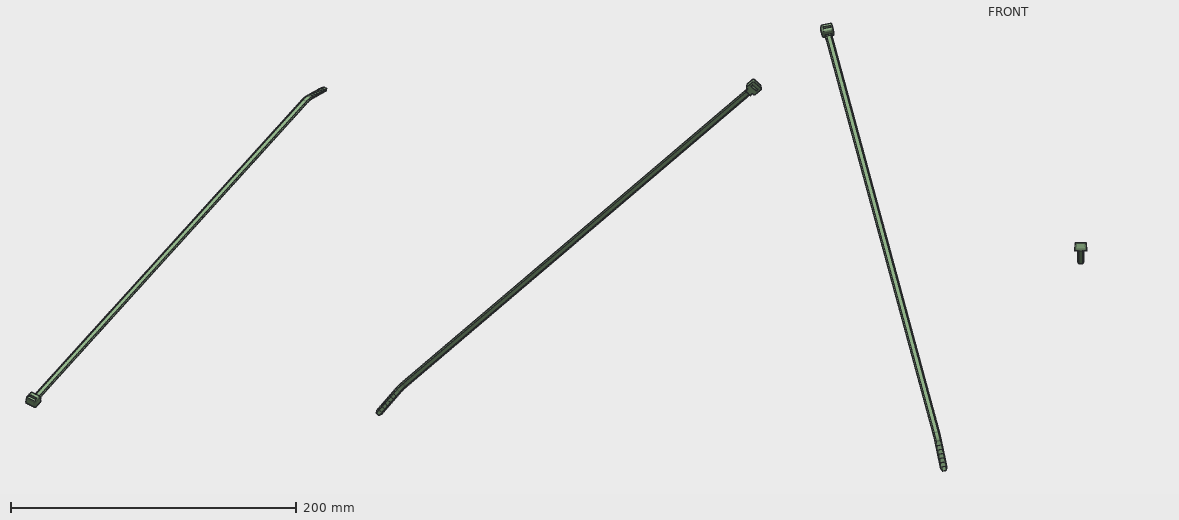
import cadquery as cq
import math

overall_length = 371.27
overall_height = 14.93

strap_width = 4.8
strap_thickness = 1.25
strap_flat_width = 2.8
strap_bevel_angle = 30

tail_angle = 24.3
bend_radius = 13.5
tip_corner_width = 1.2
tip_corner_length = 2.0

tooth_count = 6
tooth_pitch = 3.07
tooth_height = 0.43
last_tooth_to_tip = 3.0

head_width = 8.64
head_length = 7.6
head_top = 4.7
head_draft = 5
head_base_depth = 1.1
head_corner_radius = 1.0
head_edge_radius = 0.9
head_back_slope = 4
slot_width = 5.2
slot_length = 1.6
slot_start = 2.5

neck_length = 2.0
ramp_length = 0.8
ramp_height = 0.5

bevel_drop = (strap_width - strap_flat_width) / 2 * math.tan(math.radians(strap_bevel_angle))
bend_sine = math.sin(math.radians(tail_angle))
bend_cosine = math.cos(math.radians(tail_angle))
tail_drop = overall_height - head_top
bend_drop = bend_radius * (1 - bend_cosine)
tail_length = (tail_drop - bend_drop) / bend_sine
tail_run = (bend_radius + strap_thickness) * bend_sine + tail_length * bend_cosine
bend_start = overall_length - tail_run
slot_end = slot_start + slot_length


def make_strap():
    """Straight strap, bend and tail swept as one bevelled section."""
    half_angle = math.radians(tail_angle / 2)
    bend_middle = (
        bend_start + bend_radius * math.sin(half_angle),
        -bend_radius * (1 - math.cos(half_angle)),
    )
    bend_end = (bend_start + bend_radius * bend_sine, -bend_drop)
    tip = (bend_end[0] + tail_length * bend_cosine, -tail_drop)
    path = (
        cq.Workplane("YZ")
        .moveTo(slot_end, 0)
        .lineTo(bend_start, 0)
        .threePointArc(bend_middle, bend_end)
        .lineTo(*tip)
    )
    half_width = strap_width / 2
    half_flat = strap_flat_width / 2
    bevel_z = strap_thickness - bevel_drop
    start_plane = cq.Plane(origin=(0, slot_end, 0), xDir=(1, 0, 0), normal=(0, -1, 0))
    section = cq.Workplane(start_plane).polyline(
        [
            (-half_flat, 0),
            (half_flat, 0),
            (half_width, bevel_drop),
            (half_width, bevel_z),
            (half_flat, strap_thickness),
            (-half_flat, strap_thickness),
            (-half_width, bevel_z),
            (-half_width, bevel_drop),
        ]
    ).close()
    return section.sweep(path)


def tail_plane():
    """YZ plane turned along the tail: local x runs to the tip, local y is normal to the tail."""
    tip = (0, overall_length - strap_thickness * bend_sine, -tail_drop)
    return cq.Plane(origin=tip, xDir=(0, bend_cosine, -bend_sine), normal=(1, 0, 0))


def make_tooth_gaps():
    """Wedges cut into the top of the tail, leaving teeth with their steep side toward the head."""
    gaps = cq.Workplane(tail_plane())
    for index in range(tooth_count):
        deep_end = -last_tooth_to_tip - index * tooth_pitch
        crest = deep_end - tooth_pitch
        gaps = gaps.polyline(
            [
                (crest, strap_thickness),
                (deep_end, strap_thickness),
                (deep_end, strap_thickness - tooth_height),
            ]
        ).close()
    return gaps.extrude(strap_width / 2, both=True)


def make_tip_corners():
    """Prisms that cut the two corners off the tip of the tail."""
    plane = tail_plane()
    top = cq.Plane(origin=plane.origin, xDir=(1, 0, 0), normal=plane.yDir)
    corners = cq.Workplane(top)
    for side in (-1, 1):
        edge = side * strap_width / 2
        corners = corners.polyline(
            [
                (edge, 0),
                (edge - side * tip_corner_width, 0),
                (edge, -tip_corner_length),
            ]
        ).close()
    return corners.extrude(strap_thickness)


def make_head():
    """Block drafted up and down from the strap underside, its top sloping down to the free end."""
    centre_y = head_length / 2
    body = (
        cq.Workplane("XY")
        .center(0, centre_y)
        .rect(head_width, head_length)
        .extrude(head_top, taper=head_draft)
        .edges("not(|X or |Y)")
        .fillet(head_corner_radius)
        .faces(">Z")
        .edges()
        .fillet(head_edge_radius)
    )
    base = (
        cq.Workplane("XY")
        .center(0, centre_y)
        .rect(head_width, head_length)
        .extrude(-head_base_depth, taper=head_draft)
        .edges("not(|X or |Y)")
        .fillet(head_corner_radius)
    )
    back_drop = slot_start * math.tan(math.radians(head_back_slope))
    back_slope = (
        cq.Workplane("YZ")
        .moveTo(slot_start, head_top)
        .lineTo(0, head_top - back_drop)
        .lineTo(0, head_top)
        .close()
        .extrude(head_width / 2, both=True)
    )
    return body.union(base).cut(back_slope)


def make_neck():
    """Pad under the strap and ramp on top of it, both running into the head."""
    pad = (
        cq.Workplane("YZ")
        .moveTo(slot_end, -head_base_depth)
        .lineTo(head_length + neck_length, -head_base_depth)
        .lineTo(head_length + neck_length, 0)
        .lineTo(slot_end, 0)
        .close()
    )
    ramp = (
        cq.Workplane("YZ")
        .moveTo(slot_end, strap_thickness - bevel_drop)
        .lineTo(head_length + ramp_length, strap_thickness - bevel_drop)
        .lineTo(head_length + ramp_length, strap_thickness)
        .lineTo(head_length, strap_thickness + ramp_height)
        .lineTo(slot_end, strap_thickness + ramp_height)
        .close()
    )
    half_width = strap_width / 2
    return pad.extrude(half_width, both=True).union(ramp.extrude(half_width, both=True))


def make_slot():
    """Vertical passage for the tail through the head."""
    return (
        cq.Workplane("XY", origin=(0, slot_start + slot_length / 2, -head_base_depth))
        .rect(slot_width, slot_length)
        .extrude(head_top + head_base_depth)
    )


strap = make_strap().cut(make_tooth_gaps()).cut(make_tip_corners())
result = strap.union(make_head()).union(make_neck()).cut(make_slot())